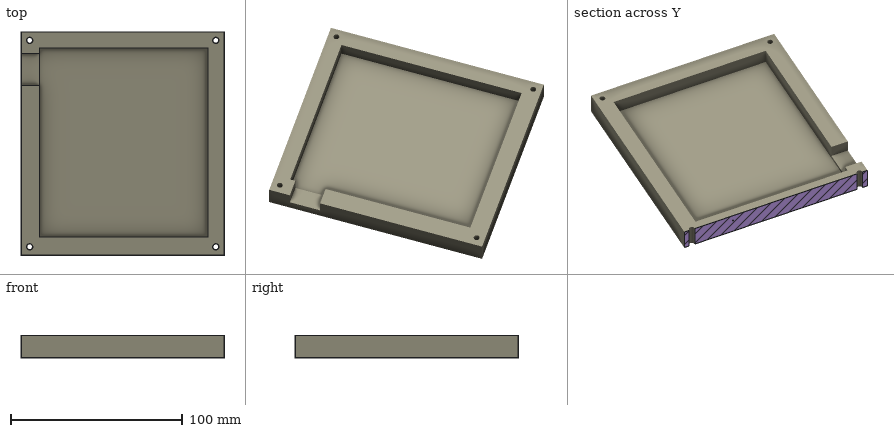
import cadquery as cq

width = 118.7
length = 130.5
height = 13.0

left_wall = 10.6
right_wall = 9.5
front_wall = 10.6
back_wall = 9.5
floor_thickness = 3.9

notch_back_offset = 12.7
notch_length = 18.5
notch_depth = 7.5

hole_diameter = 3.4
hole_inset = 5.0


def box_at(x, y, z, size_x, size_y, size_z):
    """Box with its lowest corner at (x, y, z)."""
    return cq.Workplane("XY").box(size_x, size_y, size_z, centered=False).translate((x, y, z))


block = box_at(0, 0, 0, width, length, height)

pocket = box_at(
    left_wall,
    front_wall,
    floor_thickness,
    width - left_wall - right_wall,
    length - front_wall - back_wall,
    height - floor_thickness,
)

notch = box_at(
    0,
    length - notch_back_offset - notch_length,
    height - notch_depth,
    left_wall,
    notch_length,
    notch_depth,
)

hole_centers = [
    (x, y)
    for x in (hole_inset, width - hole_inset)
    for y in (hole_inset, length - hole_inset)
]
holes = cq.Workplane("XY").pushPoints(hole_centers).circle(hole_diameter / 2).extrude(height)

result = block.cut(pocket).cut(notch).cut(holes)